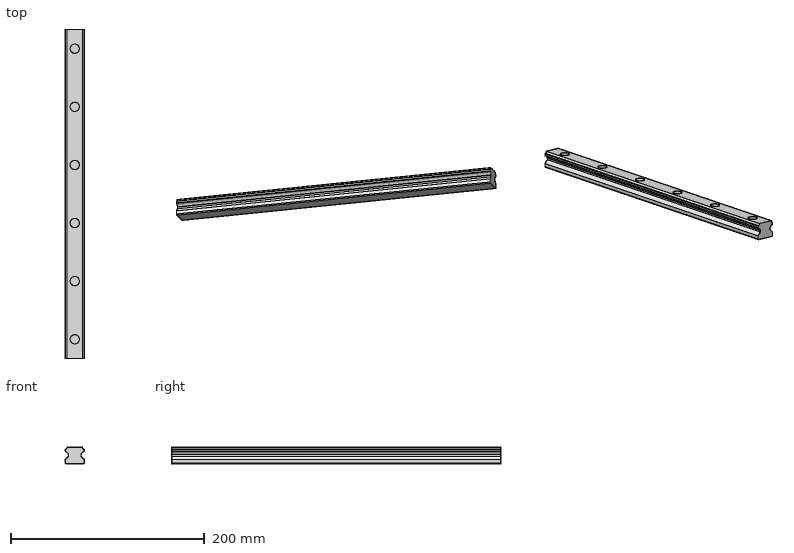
import cadquery as cq

length = 340.0
width = 20.0
height = 17.5
side_x = width / 2

top_x = 8.0
ridge_top_z = 15.3
ridge_bottom_z = 12.5
ridge_chamfer = 0.5
ridge_edge_x = side_x - ridge_chamfer
upper_groove_middle = (8.5, 15.5)
lower_groove_middle = (7.8, 11.5)

web_x = 6.5
web_top_z = 9.5
web_bottom_z = 7.8
web_flare_x = 6.8
web_flare_height = 0.5

shoulder_x = 7.5
shoulder_z = 7.0
base_side_z = 4.5
bottom_chamfer = 1.0

hole_count = 6
hole_end_distance = 20.0
hole_pitch = (length - 2 * hole_end_distance) / (hole_count - 1)
hole_diameter = 9.5
cap_depth = 0.5


def make_half_rail():
    """Extrude the +X half of the cross-section along the whole rail."""
    return (
        cq.Workplane("XZ", origin=(0, length / 2, 0))
        .lineTo(side_x - bottom_chamfer, 0)
        .lineTo(side_x, bottom_chamfer)
        .lineTo(side_x, base_side_z)
        .lineTo(shoulder_x, shoulder_z)
        .lineTo(web_x, web_bottom_z)
        .lineTo(web_x, web_top_z)
        .lineTo(web_flare_x, web_top_z + web_flare_height)
        .threePointArc(lower_groove_middle, (ridge_edge_x, ridge_bottom_z))
        .lineTo(side_x, ridge_bottom_z + ridge_chamfer)
        .lineTo(side_x, ridge_top_z - ridge_chamfer)
        .lineTo(ridge_edge_x, ridge_top_z)
        .threePointArc(upper_groove_middle, (top_x, height))
        .lineTo(0, height)
        .close()
        .extrude(length)
    )


def make_cap_recesses():
    """Row of shallow discs, one above each mounting-hole cap."""
    return (
        cq.Workplane("XY", origin=(0, 0, height))
        .rarray(3.5, hole_pitch, 1, hole_count)
        .circle(hole_diameter / 2)
        .extrude(-cap_depth)
    )


half_rail = make_half_rail()
rail = half_rail.union(half_rail.mirror("YZ")).clean()
result = rail.cut(make_cap_recesses())